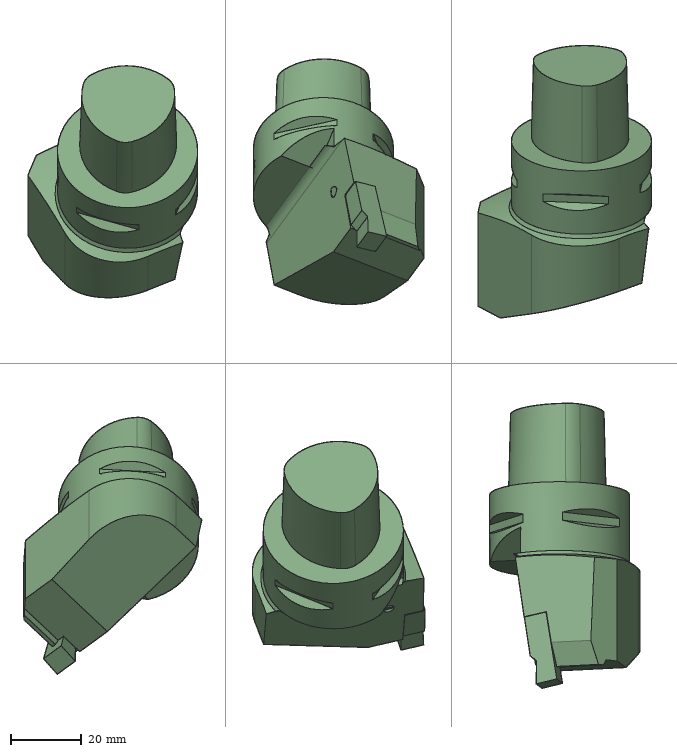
import cadquery as cq
import math


SHANK_LENGTH = 24.0
SHANK_LOBE_RADIUS = 14.9
SHANK_BLEND_RADIUS = 14.6
SHANK_FLANK_RADIUS = 13.2
SHANK_LOBE_HALF_ANGLE = 8.7
SHANK_TAPER_SHRINK = SHANK_LENGTH / 40
LOBE_ANGLES = (90, 210, 330)

FLANGE_RADIUS = 20.0
FLANGE_HEIGHT = 20.0
GROOVE_FLOOR_OFFSET = 17.65
GROOVE_FLOOR_WIDTH = 2.35
GROOVE_FLANK_ANGLE = 30
GROOVE_CENTRE_Z = -FLANGE_HEIGHT / 2
GROOVE_ANGLES = (45, 135, 225, 315)

NECK_RADIUS = 20.7
NECK_HEIGHT = 1.1
NECK_BOTTOM_Z = -FLANGE_HEIGHT - NECK_HEIGHT

SHOULDER_ANGLE = 15
BODY_REACH = 22.0
BODY_CORNER_RADIUS = 17.65
CHAMFER_START_X = -19.75
SIDE_TOP_X = -25.0
SIDE_TOP_Z = -22.2
SIDE_LEAN = 2
NOSE_FOLD_Z = -47.9
NOSE_ANGLE = 15
NOSE_BOTTOM_Z = -54.6
NOSE_FLAT_END_X = -23.0
NOSE_STEP_X = -22.2
BODY_BOTTOM_Z = -53.0
RAMP_START_X = -9.7
RAMP_ANGLE = 25
STOCK_REACH = 33.6

REAR_TOP_Y = 6.6
REAR_TOP_Z = -22.2
REAR_BOTTOM_Y = 1.9
REAR_FILLET_RUN = 3.4
RELIEF_TOP_X = -18.8
RELIEF_TOP_Z = -12.6
RELIEF_BOTTOM_X = -8.4

INSERT_UPPER = ((3.7, -40.2), (-2.7, -39.0))
INSERT_HEEL = (-6.05, -58.8)
INSERT_TOE_Y = 0.0
INSERT_BOTTOM_Z = -60.0
INSERT_STEP = (1.85, -51.7)
INSERT_STEP_END_Z = -53.45
INSERT_INNER_X = -20.2
INSERT_OUTER_BOTTOM_X = -27.0
POCKET_EXTENSION = 10.1

SCREW_DIAMETER = 3.0
SCREW_LENGTH = 6.7
SCREW_HEAD_CENTRE = (-15.1, 4.6, -34.5)
SCREW_TILT = 30


def tangent(angle):
    return math.tan(math.radians(angle))


def polar(radius, angle):
    return radius * math.cos(math.radians(angle)), radius * math.sin(math.radians(angle))


def shank_outline(z, shrink):
    """Closed outline of three lobe arcs and three flank arcs."""
    blend = SHANK_BLEND_RADIUS - shrink
    wire = cq.Workplane("XY", origin=(0, 0, z))
    wire = wire.moveTo(*polar(blend, LOBE_ANGLES[0] - SHANK_LOBE_HALF_ANGLE))
    for angle in LOBE_ANGLES:
        wire = wire.threePointArc(
            polar(SHANK_LOBE_RADIUS - shrink, angle),
            polar(blend, angle + SHANK_LOBE_HALF_ANGLE),
        )
        wire = wire.threePointArc(
            polar(SHANK_FLANK_RADIUS - shrink, angle + 60),
            polar(blend, angle + 120 - SHANK_LOBE_HALF_ANGLE),
        )
    return wire.wire().val()


def make_shank():
    outlines = [shank_outline(0, 0), shank_outline(SHANK_LENGTH, SHANK_TAPER_SHRINK)]
    return cq.Workplane(cq.Solid.makeLoft(outlines, True))


def make_groove(angle):
    """Trapezoidal cutter, floor square to the radius at the given angle."""
    depth = FLANGE_RADIUS - GROOVE_FLOOR_OFFSET
    half_floor = GROOVE_FLOOR_WIDTH / 2
    half_mouth = half_floor + depth * tangent(GROOVE_FLANK_ANGLE)
    return (
        cq.Workplane("XZ")
        .polyline([
            (GROOVE_FLOOR_OFFSET, GROOVE_CENTRE_Z - half_floor),
            (FLANGE_RADIUS, GROOVE_CENTRE_Z - half_mouth),
            (FLANGE_RADIUS, GROOVE_CENTRE_Z + half_mouth),
            (GROOVE_FLOOR_OFFSET, GROOVE_CENTRE_Z + half_floor),
        ])
        .close()
        .extrude(FLANGE_RADIUS, both=True)
        .rotate((0, 0, 0), (0, 0, 1), angle)
    )


def make_flange():
    flange = cq.Workplane("XY").circle(FLANGE_RADIUS).extrude(-FLANGE_HEIGHT)
    for angle in GROOVE_ANGLES:
        flange = flange.cut(make_groove(angle))
    return flange


def make_conical_stock():
    """Neck and conical shoulder, revolved large enough to hold the body."""
    edge_radius = 2 * STOCK_REACH
    edge_z = NECK_BOTTOM_Z - (edge_radius - NECK_RADIUS) * tangent(SHOULDER_ANGLE)
    return (
        cq.Workplane("XZ")
        .polyline([
            (0, -FLANGE_HEIGHT),
            (FLANGE_RADIUS, -FLANGE_HEIGHT),
            (NECK_RADIUS, NECK_BOTTOM_Z),
            (edge_radius, edge_z),
            (edge_radius, NOSE_BOTTOM_Z),
            (0, NOSE_BOTTOM_Z),
        ])
        .close()
        .revolve(360, (0, 0), (0, 1))
    )


def make_plan_prism():
    """Plan of the body: one rounded and one chamfered front corner."""
    chamfer_run = STOCK_REACH + CHAMFER_START_X
    arc_start_x = BODY_REACH - BODY_CORNER_RADIUS
    arc_middle_offset = BODY_CORNER_RADIUS * (1 - math.sqrt(0.5))
    return (
        cq.Workplane("XY", origin=(0, 0, NOSE_BOTTOM_Z))
        .moveTo(CHAMFER_START_X, -BODY_REACH)
        .lineTo(arc_start_x, -BODY_REACH)
        .threePointArc(
            (BODY_REACH - arc_middle_offset, arc_middle_offset - BODY_REACH),
            (BODY_REACH, -arc_start_x),
        )
        .lineTo(BODY_REACH, STOCK_REACH)
        .lineTo(-STOCK_REACH, STOCK_REACH)
        .lineTo(-STOCK_REACH, chamfer_run - BODY_REACH)
        .close()
        .extrude(-NOSE_BOTTOM_Z)
    )


def make_side_prism():
    """Front profile: leaning -X face, nose, flat bottom and ramp."""
    lean = tangent(SIDE_LEAN)
    fold_x = SIDE_TOP_X - (SIDE_TOP_Z - NOSE_FOLD_Z) * lean
    nose_x = fold_x + (NOSE_FOLD_Z - NOSE_BOTTOM_Z) * tangent(NOSE_ANGLE)
    ramp_end_z = BODY_BOTTOM_Z + (BODY_REACH - RAMP_START_X) * tangent(RAMP_ANGLE)
    return (
        cq.Workplane("XZ")
        .polyline([
            (SIDE_TOP_X - SIDE_TOP_Z * lean, 0),
            (fold_x, NOSE_FOLD_Z),
            (nose_x, NOSE_BOTTOM_Z),
            (NOSE_FLAT_END_X, NOSE_BOTTOM_Z),
            (NOSE_STEP_X, BODY_BOTTOM_Z),
            (RAMP_START_X, BODY_BOTTOM_Z),
            (BODY_REACH, ramp_end_z),
            (BODY_REACH, 0),
        ])
        .close()
        .extrude(STOCK_REACH, both=True)
    )


def make_rear_cutter():
    """Everything behind the sloping rear face, with a fillet under the flange."""
    slope = (REAR_TOP_Y - REAR_BOTTOM_Y) / (REAR_TOP_Z - BODY_BOTTOM_Z)
    floor_z = NOSE_BOTTOM_Z
    floor_y = REAR_BOTTOM_Y - (BODY_BOTTOM_Z - floor_z) * slope
    fillet_end_y = REAR_TOP_Y + REAR_FILLET_RUN
    fillet_rise = -FLANGE_HEIGHT - REAR_TOP_Z
    return (
        cq.Workplane("YZ")
        .moveTo(floor_y, floor_z)
        .lineTo(REAR_TOP_Y, REAR_TOP_Z)
        .threePointArc(
            (fillet_end_y - REAR_FILLET_RUN * math.sqrt(0.5), REAR_TOP_Z + fillet_rise * math.sqrt(0.5)),
            (fillet_end_y, -FLANGE_HEIGHT),
        )
        .lineTo(STOCK_REACH, -FLANGE_HEIGHT)
        .lineTo(STOCK_REACH, floor_z)
        .close()
        .extrude(STOCK_REACH, both=True)
    )


def make_flange_relief():
    """Sloping cut under the flange, behind the rear face on the -X side."""
    slope = (RELIEF_TOP_Z + FLANGE_HEIGHT) / (RELIEF_BOTTOM_X - RELIEF_TOP_X)
    outer_z = RELIEF_TOP_Z + (RELIEF_TOP_X + STOCK_REACH) * slope
    return (
        cq.Workplane("XZ", origin=(0, REAR_TOP_Y, 0))
        .polyline([
            (RELIEF_BOTTOM_X, -FLANGE_HEIGHT),
            (-STOCK_REACH, -FLANGE_HEIGHT),
            (-STOCK_REACH, outer_z),
        ])
        .close()
        .extrude(-STOCK_REACH)
    )


def make_insert_pocket():
    """Seat for the insert, open to the rear, the -X side and the bottom."""
    (rear_y, rear_z), (seat_y, seat_z) = INSERT_UPPER
    top_slope = (rear_z - seat_z) / (rear_y - seat_y)
    open_y = rear_y + POCKET_EXTENSION
    return (
        cq.Workplane("YZ", origin=(INSERT_INNER_X, 0, 0))
        .polyline([
            (open_y, rear_z + POCKET_EXTENSION * top_slope),
            (seat_y, seat_z),
            INSERT_HEEL,
            (open_y, INSERT_HEEL[1]),
        ])
        .close()
        .extrude(-STOCK_REACH)
    )


def make_insert():
    """Blade with a stepped rake face and an outer side leaning like the body."""
    lean = tangent(SIDE_LEAN)
    blade = (
        cq.Workplane("YZ", origin=(INSERT_INNER_X, 0, 0))
        .polyline([
            *INSERT_UPPER,
            INSERT_HEEL,
            (INSERT_TOE_Y, INSERT_BOTTOM_Z),
            (INSERT_TOE_Y, INSERT_STEP_END_Z),
            INSERT_STEP,
        ])
        .close()
        .extrude(INSERT_OUTER_BOTTOM_X - INSERT_INNER_X)
    )
    outer_side = (
        cq.Workplane("XZ")
        .polyline([
            (INSERT_OUTER_BOTTOM_X, INSERT_BOTTOM_Z),
            (INSERT_INNER_X, INSERT_BOTTOM_Z),
            (INSERT_INNER_X, 0),
            (INSERT_OUTER_BOTTOM_X - INSERT_BOTTOM_Z * lean, 0),
        ])
        .close()
        .extrude(STOCK_REACH, both=True)
    )
    return blade.intersect(outer_side)


def screw_cylinder(start, end):
    """Cylinder on the screw axis, from start to end measured outward from the head."""
    tilt = math.radians(SCREW_TILT)
    plane = cq.Plane(
        origin=SCREW_HEAD_CENTRE,
        xDir=(1, 0, 0),
        normal=(0, math.cos(tilt), -math.sin(tilt)),
    )
    return cq.Workplane(plane).workplane(offset=start).circle(SCREW_DIAMETER / 2).extrude(end - start)


def make_screw():
    return screw_cylinder(-SCREW_LENGTH, 0)


def make_holder():
    body = make_conical_stock().intersect(make_plan_prism()).intersect(make_side_prism())
    body = body.cut(make_rear_cutter())
    holder = make_flange().union(body).union(make_shank())
    holder = holder.cut(make_flange_relief())
    holder = holder.cut(make_insert_pocket())
    return holder.cut(screw_cylinder(-SCREW_LENGTH, SCREW_DIAMETER))


holder = make_holder()
insert = make_insert()
screw = make_screw()

result = cq.Compound.makeCompound([holder.val(), insert.val(), screw.val()])